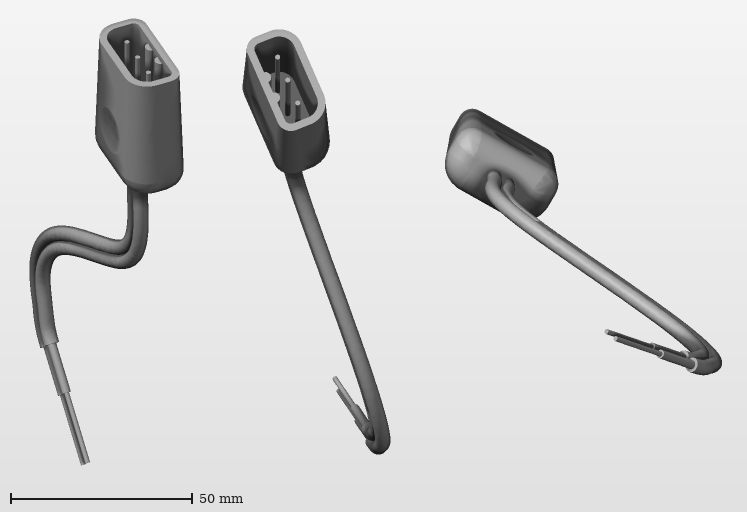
import cadquery as cq
import math


housing_height = 41.0
draft_angle = 2.0
widest_half_width = 15.8
widest_half_depth = 8.6
front_corner_radius = 6.7
back_corner_radius = 3.9
bottom_fillet = 6.7
wall = 2.1
cavity_depth = 31.6
cavity_floor = housing_height - cavity_depth
draft_slope = math.tan(math.radians(draft_angle))
fillet_top_z = bottom_fillet * (1 + math.sin(math.radians(draft_angle)))
rim_narrowing = (housing_height - fillet_top_z) * draft_slope
rim_half_width = widest_half_width - rim_narrowing
rim_half_depth = widest_half_depth - rim_narrowing

dimple_z = 17.0
dimple_sphere_radius = 25.3
dimple_depth = 0.9

rib_radius = 1.5
rib_spacing = 6.3
rib_top_gap = 1.8

pin_diameter = 1.4
pin_spacing = 7.2
pin_tip_gap = 1.2
pin_count = 3

strand_radius = 2.1
strand_spacing = 4.0
cable_path_points = [
    (-0.2, 0),
    (-0.4, -5.1),
    (0.2, -18.8),
    (-2.3, -29.2),
    (-19.7, -45.2),
    (-46.2, -61.2),
    (-62.7, -77.2),
    (-66.3, -88.5),
    (-64.2, -99.3),
    (-59.5, -108.6),
]

wire_angle = 45.0
insulation_diameter = 2.5
insulation_length = 14.0
conductor_diameter = 1.4
conductor_length = 20.2

wire_cosine = math.cos(math.radians(wire_angle))
wire_sine = math.sin(math.radians(wire_angle))
wire_direction = cq.Vector(wire_cosine, 0, -wire_sine)
across_wires = cq.Vector(wire_sine, 0, wire_cosine)


def rounded_section(z, inset):
    """Housing outline at the rim, moved inwards by `inset`, on the plane at height `z`."""
    x = rim_half_width - inset
    y = rim_half_depth - inset
    front_radius = front_corner_radius - inset
    back_radius = back_corner_radius - inset
    front_cut = front_radius * (1 - math.sqrt(0.5))
    back_cut = back_radius * (1 - math.sqrt(0.5))
    return (
        cq.Workplane("XY", origin=(0, 0, z))
        .moveTo(front_radius - x, -y)
        .lineTo(x - front_radius, -y)
        .threePointArc((x - front_cut, front_cut - y), (x, front_radius - y))
        .lineTo(x, y - back_radius)
        .threePointArc((x - back_cut, y - back_cut), (x - back_radius, y))
        .lineTo(back_radius - x, y)
        .threePointArc((back_cut - x, y - back_cut), (-x, y - back_radius))
        .lineTo(-x, front_radius - y)
        .threePointArc((front_cut - x, front_cut - y), (front_radius - x, -y))
        .close()
    )


def make_shell():
    shell = rounded_section(housing_height, 0).extrude(-housing_height, taper=-draft_angle)
    shell = shell.faces("<Z").edges().fillet(bottom_fillet)
    cavity = rounded_section(cavity_floor, wall).extrude(cavity_depth)
    return shell.cut(cavity)


def make_dimple_cutter(side):
    """Sphere that dents the wall facing `side` along Y: -1 is the front, +1 the back."""
    wall_y = rim_half_depth + (housing_height - dimple_z) * draft_slope
    centre_y = side * (wall_y + dimple_sphere_radius - dimple_depth)
    return cq.Workplane("XY", origin=(0, centre_y, dimple_z)).sphere(dimple_sphere_radius)


def make_ribs():
    back_wall_y = rim_half_depth - wall
    rib_height = cavity_depth - rib_top_gap
    return (
        cq.Workplane("XY", origin=(0, back_wall_y, cavity_floor))
        .pushPoints([(-rib_spacing / 2, 0), (rib_spacing / 2, 0)])
        .circle(rib_radius)
        .extrude(rib_height)
    )


def make_housing():
    housing = make_shell().union(make_ribs())
    for side in (-1, 1):
        housing = housing.cut(make_dimple_cutter(side))
    return housing


def make_pin(x):
    pin_height = cavity_depth - pin_tip_gap
    return cq.Workplane("XY", origin=(x, 0, cavity_floor)).circle(pin_diameter / 2).extrude(pin_height)


def make_cable():
    """Figure-eight jacket swept along the bends of the cable."""
    path = cq.Workplane("XZ").spline(
        cable_path_points,
        tangents=[(0, -1), (wire_cosine, -wire_sine)],
    )
    neck = math.sqrt(strand_radius**2 - (strand_spacing / 2) ** 2)
    outer_x = strand_spacing / 2 + strand_radius
    start_x, start_z = cable_path_points[0]
    profile = (
        cq.Workplane("XY", origin=(start_x, 0, start_z))
        .moveTo(0, -neck)
        .threePointArc((outer_x, 0), (0, neck))
        .threePointArc((-outer_x, 0), (0, -neck))
        .close()
    )
    return profile.sweep(path)


def make_wire_section(side, start, length, diameter):
    """Round length of one wire; `start` is its distance from the end of the jacket."""
    end_x, end_z = cable_path_points[-1]
    jacket_end = cq.Vector(end_x, 0, end_z)
    origin = jacket_end + across_wires * (side * strand_spacing / 2) + wire_direction * start
    plane = cq.Plane(origin=origin, xDir=across_wires, normal=wire_direction)
    return cq.Workplane(plane).circle(diameter / 2).extrude(length)


housing = make_housing()
cable = make_cable()

pins = []
for index in range(pin_count):
    pin_x = (index - (pin_count - 1) / 2) * pin_spacing
    pins.append(make_pin(pin_x).val())

insulations = []
conductors = []
for wire_side in (-1, 1):
    insulation = make_wire_section(wire_side, 0, insulation_length, insulation_diameter)
    conductor = make_wire_section(wire_side, insulation_length, conductor_length, conductor_diameter)
    insulations.append(insulation.val())
    conductors.append(conductor.val())

result = cq.Compound.makeCompound([housing.val(), cable.val(), *pins, *insulations, *conductors])